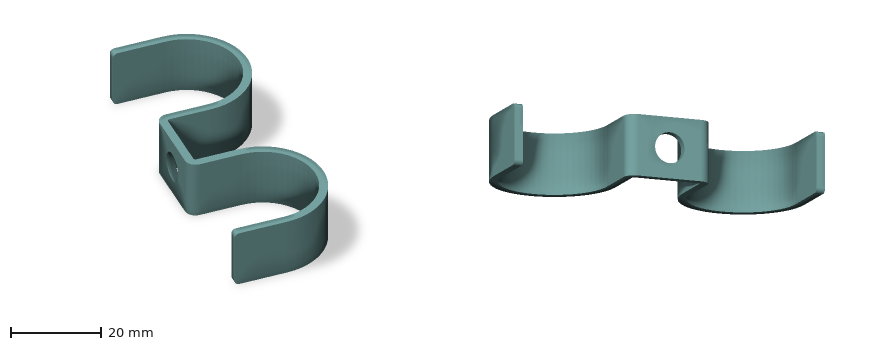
import cadquery as cq

length = 74.0
depth = 27.0
strip_width = 14.0
thickness = 2.0
arch_outer_radius = 14.5
bend_inner_radius = 0.5
hole_diameter = 7.0
tip_corner_radius = 1.0

arch_inner_radius = arch_outer_radius - thickness
bend_outer_radius = bend_inner_radius + thickness
arch_center_x = length / 2 - arch_outer_radius
leg_length = depth - arch_outer_radius
web_half_length = arch_center_x - arch_inner_radius


def make_arch(side):
    """Half ring with its straight outer leg and inner leg; side is -1 or +1."""
    center_x = side * arch_center_x
    return (
        cq.Workplane("XY")
        .moveTo(center_x - arch_outer_radius, -leg_length)
        .lineTo(center_x - arch_outer_radius, 0)
        .threePointArc((center_x, arch_outer_radius), (center_x + arch_outer_radius, 0))
        .lineTo(center_x + arch_outer_radius, -leg_length)
        .lineTo(center_x + arch_inner_radius, -leg_length)
        .lineTo(center_x + arch_inner_radius, 0)
        .threePointArc((center_x, arch_inner_radius), (center_x - arch_inner_radius, 0))
        .lineTo(center_x - arch_inner_radius, -leg_length)
        .close()
        .extrude(strip_width)
    )


def make_web():
    """Flat mounting web joining the two inner legs."""
    return (
        cq.Workplane("XY")
        .box(2 * web_half_length, thickness, strip_width, centered=(True, False, False))
        .translate((0, -leg_length, 0))
    )


def bend_edges(body, half_span, y, margin=0.1):
    """Pair of upright edges at x = +/- half_span for the given y."""
    corners = cq.selectors.BoxSelector(
        (-half_span - margin, y - margin, -margin),
        (half_span + margin, y + margin, strip_width + margin),
    )
    return body.edges("|Z").edges(corners)


strip = make_arch(-1).union(make_arch(1)).union(make_web()).clean()
strip = bend_edges(strip, web_half_length, -leg_length).fillet(bend_outer_radius)
strip = bend_edges(strip, web_half_length - thickness, thickness - leg_length).fillet(bend_inner_radius)

for end_selector in ("<X", ">X"):
    leg_end = strip.faces("<Y").faces(end_selector)
    strip = leg_end.edges("|X").fillet(tip_corner_radius)

hole = (
    cq.Workplane("XZ", origin=(0, thickness - leg_length, strip_width / 2))
    .circle(hole_diameter / 2)
    .extrude(thickness)
)
result = strip.cut(hole)